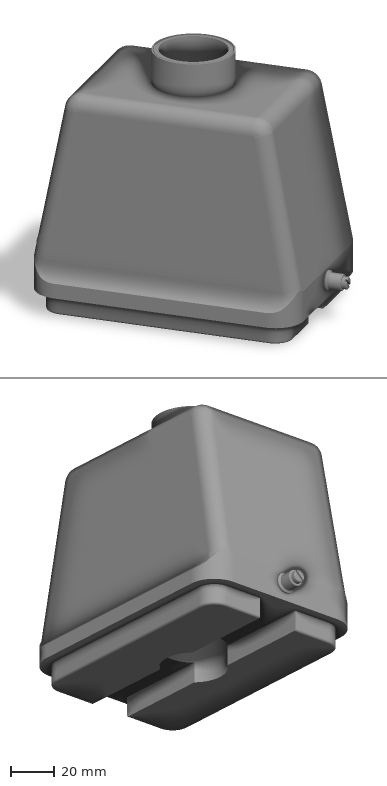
import cadquery as cq
import math

total_height = 124.5
roof_z = 108.3
skirt_height = 10.1
pin_z = 18.8

rim_length = 132.0
rim_width = 90.0
rim_corner_radius = 13.8

end_wall_base_z = 25.1
cove_top_z = 25.7
cove_top_width = 80.2
cove_radius = 10.0
cove_end_angle = 75.0
end_draft = 11.0
side_draft = 1.4
roof_end_radius = 8.0
side_edge_radius = 7.0

skirt_length = 121.3
skirt_width = 79.3
skirt_corner_radius = 8.9
skirt_edge_radius = 1.0
slot_width = 21.1

neck_diameter = 39.0
cable_bore_diameter = 32.0
sleeve_seat_diameter = 37.5
sleeve_outer_diameter = 37.0
sleeve_bore_diameter = 32.5
sleeve_length = 15.0

pin_root_overlap = 1.5
pin_tip_x = 76.5
pin_collar_diameter = 10.0
pin_collar_thickness = 0.9
pin_cone_length = 0.8
pin_diameter = 8.0
pin_shoulder_x = 73.9
pin_shoulder_chamfer = 0.3
pin_tip_diameter = 6.0
pin_tip_chamfer = 0.5
pin_slot_width = 1.0
pin_slot_depth = 1.0
pin_slot_angle = 45.0


def make_end_profile_block():
    """Block with the leaning end walls and the rounded ends of the roof, wider than the rim."""
    lean = math.tan(math.radians(end_draft))
    low = rim_length / 2 + (end_wall_base_z - skirt_height) * lean
    high = rim_length / 2 - (roof_z - end_wall_base_z) * lean
    outline = [(-low, skirt_height), (low, skirt_height), (high, roof_z), (-high, roof_z)]
    block = cq.Workplane("XZ").polyline(outline).close().extrude(rim_width, both=True)
    return block.faces(">Z").edges("|Y").fillet(roof_end_radius)


def cove_point(angle):
    """Point (Y, Z) on the +Y cove, at an angle in degrees below the horizontal through its centre."""
    draft = math.radians(side_draft)
    centre_y = cove_top_width / 2 + cove_radius * math.cos(draft)
    centre_z = cove_top_z + cove_radius * math.sin(draft)
    turn = math.radians(angle)
    return centre_y - cove_radius * math.cos(turn), centre_z - cove_radius * math.sin(turn)


def mirrored(point):
    return -point[0], point[1]


def make_side_profile_block():
    """Block with the leaning side walls, each flowing into a cove that runs out past the rim."""
    roof_half_width = cove_top_width / 2 - (roof_z - cove_top_z) * math.tan(math.radians(side_draft))
    roof_corner = (roof_half_width, roof_z)
    cove_top = cove_point(side_draft)
    cove_middle = cove_point((side_draft + cove_end_angle) / 2)
    cove_end = cove_point(cove_end_angle)
    foot = (cove_end[0], skirt_height)
    return (
        cq.Workplane("YZ")
        .moveTo(*mirrored(foot))
        .lineTo(*foot)
        .lineTo(*cove_end)
        .threePointArc(cove_middle, cove_top)
        .lineTo(*roof_corner)
        .lineTo(*mirrored(roof_corner))
        .lineTo(*mirrored(cove_top))
        .threePointArc(mirrored(cove_middle), mirrored(cove_end))
        .close()
        .extrude(rim_length, both=True)
    )


def rounded_block(length, width, corner_radius, z_bottom, z_top):
    return (
        cq.Workplane("XY", origin=(0, 0, z_bottom))
        .rect(length, width)
        .extrude(z_top - z_bottom)
        .edges("|Z")
        .fillet(corner_radius)
    )


def make_hood_body():
    """Tapered body with a cove along each side wall, trimmed to the rim outline."""
    body = make_end_profile_block().intersect(make_side_profile_block())
    body = body.faces(">Z").edges("|X").fillet(side_edge_radius)
    return body.intersect(rounded_block(rim_length, rim_width, rim_corner_radius, skirt_height, roof_z))


def make_skirt():
    skirt = rounded_block(skirt_length, skirt_width, skirt_corner_radius, 0, skirt_height)
    skirt = skirt.faces("<Z").edges().fillet(skirt_edge_radius)
    slot = cq.Workplane("XY").rect(2 * skirt_length, slot_width).extrude(skirt_height)
    return skirt.cut(slot)


def cylinder(diameter, z_bottom, z_top):
    return cq.Workplane("XY", origin=(0, 0, z_bottom)).circle(diameter / 2).extrude(z_top - z_bottom)


def make_pin(side):
    """Stepped locking pin on the +X (side 1) or -X (side -1) end, with a screwdriver slot in its tip."""
    root_x = rim_length / 2
    collar_x = root_x + pin_collar_thickness
    profile = [
        (root_x - pin_root_overlap, 0),
        (root_x - pin_root_overlap, pin_collar_diameter / 2),
        (collar_x, pin_collar_diameter / 2),
        (collar_x + pin_cone_length, pin_diameter / 2),
        (pin_shoulder_x - pin_shoulder_chamfer, pin_diameter / 2),
        (pin_shoulder_x, pin_diameter / 2 - pin_shoulder_chamfer),
        (pin_shoulder_x, pin_tip_diameter / 2),
        (pin_tip_x - pin_tip_chamfer, pin_tip_diameter / 2),
        (pin_tip_x, pin_tip_diameter / 2 - pin_tip_chamfer),
        (pin_tip_x, 0),
    ]
    pin = cq.Workplane("XY").polyline(profile).close().revolve(360, (0, 0, 0), (1, 0, 0))
    slot = (
        cq.Workplane("XY")
        .box(2 * pin_slot_depth, pin_diameter, pin_slot_width)
        .rotate((0, 0, 0), (1, 0, 0), -pin_slot_angle)
        .translate((pin_tip_x, 0, 0))
    )
    pin = pin.cut(slot)
    if side < 0:
        pin = pin.rotate((0, 0, 0), (0, 0, 1), 180)
    return pin.translate((0, 0, pin_z))


def make_hood():
    hood = make_hood_body().union(make_skirt())
    hood = hood.union(cylinder(neck_diameter, skirt_height, total_height))
    hood = hood.cut(cylinder(cable_bore_diameter, 0, total_height))
    hood = hood.cut(cylinder(sleeve_seat_diameter, total_height - sleeve_length, total_height))
    for side in (-1, 1):
        hood = hood.union(make_pin(side))
    return hood


def make_sleeve():
    sleeve_bottom_z = total_height - sleeve_length
    sleeve = cylinder(sleeve_outer_diameter, sleeve_bottom_z, total_height)
    return sleeve.cut(cylinder(sleeve_bore_diameter, sleeve_bottom_z, total_height))


hood = make_hood()
sleeve = make_sleeve()
result = cq.Compound.makeCompound([hood.solids().val(), sleeve.solids().val()])